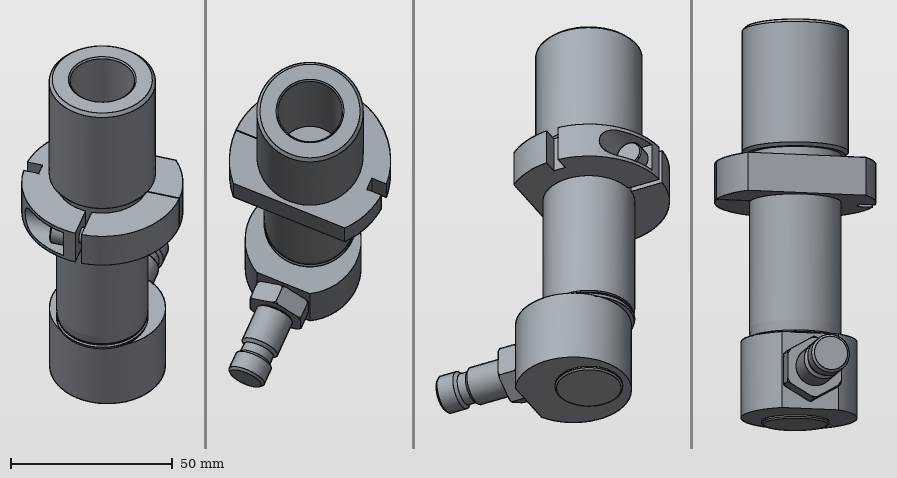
import cadquery as cq
import math

TOTAL_HEIGHT = 124.9
BARREL_DIAMETER = 33.0
BARREL_BOTTOM = 84.9
BARREL_TOP_CHAMFER = 1.0
BARREL_BOTTOM_CHAMFER = 1.0
TUBE_DIAMETER = 28.5
BORE_DIAMETER = 20.0
BORE_MOUTH_DIAMETER = 21.0
BORE_DEPTH = TOTAL_HEIGHT - BARREL_BOTTOM
GROOVE_TOP = 27.1
GROOVE_FLOOR_TOP = 26.7
GROOVE_FLOOR_BOTTOM = 26.4
GROOVE_BOTTOM = 25.9
GROOVE_DEPTH = 0.5
TAPER_TOP = 30.1
TAPER_DEPTH = 0.2
FOOT_TAPER_DEPTH = 0.2

HEAD_DIAMETER = 36.0
HEAD_OFFSET = 5.4
HEAD_BOTTOM = 1.0
HEAD_TOP = 25.0
HEAD_FLAT = 21.0
BASE_DIAMETER = 21.0
BASE_CHAMFER = 0.5

CONNECTOR_Z = (HEAD_BOTTOM + HEAD_TOP) / 2
HEX_ACROSS_FLATS = 17.0
HEX_END = 27.2
HEX_CHAMFER = 0.5
CONNECTOR_DIAMETER = 12.0
CONNECTOR_NECK_DIAMETER = 10.0
CONNECTOR_END = 50.5
CONNECTOR_ROOT_CHAMFER = 0.5
CONNECTOR_END_CHAMFER = 0.7
NECK_START = 39.3
NECK_END = 44.2
NECK_SLOPE = 1.0

COLLAR_DIAMETER = 50.0
COLLAR_BOTTOM = 70.0
COLLAR_HEIGHT = 12.0
COLLAR_FLAT = 16.5
NOTCH_WIDTH = 4.0
NOTCH_DEPTH = 5.0
CLAMP_GAP = 2.0
SPLIT_WIDTH = 0.2

SCREW_Y = -18.9
SCREW_Z = COLLAR_BOTTOM + COLLAR_HEIGHT / 2
SCREW_SHANK_DIAMETER = 5.0
SCREW_HEAD_DIAMETER = 8.5
SCREW_HEAD_LENGTH = 5.0
SCREW_HEAD_CHAMFER = 0.4
SCREW_SEAT_X = -5.0
SCREW_POCKET_WIDTH = 9.5


def make_tube():
    """Barrel and tube with the blind bore and the taper and groove above the head."""
    barrel_r = BARREL_DIAMETER / 2
    tube_r = TUBE_DIAMETER / 2
    bore_r = BORE_DIAMETER / 2
    mouth_r = BORE_MOUTH_DIAMETER / 2
    floor = TOTAL_HEIGHT - BORE_DEPTH
    profile = [
        (0, HEAD_TOP),
        (tube_r - FOOT_TAPER_DEPTH, HEAD_TOP),
        (tube_r, GROOVE_BOTTOM),
        (tube_r - GROOVE_DEPTH, GROOVE_FLOOR_BOTTOM),
        (tube_r - GROOVE_DEPTH, GROOVE_FLOOR_TOP),
        (tube_r - TAPER_DEPTH, GROOVE_TOP),
        (tube_r, TAPER_TOP),
        (tube_r, BARREL_BOTTOM),
        (barrel_r - BARREL_BOTTOM_CHAMFER, BARREL_BOTTOM),
        (barrel_r, BARREL_BOTTOM + BARREL_BOTTOM_CHAMFER),
        (barrel_r, TOTAL_HEIGHT - BARREL_TOP_CHAMFER),
        (barrel_r - BARREL_TOP_CHAMFER, TOTAL_HEIGHT),
        (mouth_r, TOTAL_HEIGHT),
        (bore_r, TOTAL_HEIGHT - (mouth_r - bore_r)),
        (bore_r, floor),
        (0, floor),
    ]
    return cq.Workplane("XZ").polyline(profile).close().revolve(360, (0, 0), (0, 1))


def make_head():
    """Offset cylinder cut by the connector flat, with the round base below."""
    cylinder = (
        cq.Workplane("XY", origin=(0, HEAD_OFFSET, HEAD_BOTTOM))
        .circle(HEAD_DIAMETER / 2)
        .extrude(HEAD_TOP - HEAD_BOTTOM)
    )
    beyond_flat = cq.Workplane("XY").box(
        HEAD_DIAMETER, HEAD_DIAMETER, TOTAL_HEIGHT, centered=(True, False, False)
    ).translate((0, HEAD_FLAT, 0))
    base = (
        cq.Workplane("XY")
        .circle(BASE_DIAMETER / 2)
        .extrude(HEAD_BOTTOM)
        .faces("<Z")
        .chamfer(BASE_CHAMFER)
    )
    return cylinder.cut(beyond_flat).union(base)


def make_hex():
    """Hexagon against the head flat, corners up and down, both ends chamfered."""
    across_corners = HEX_ACROSS_FLATS / math.cos(math.pi / 6)
    length = HEX_END - HEAD_FLAT
    hexagon = (
        cq.Workplane("XY").polygon(6, across_corners).extrude(length)
        .rotate((0, 0, 0), (0, 0, 1), 90)
    )
    corner_trim = (
        cq.Workplane("XY").circle(across_corners / 2).extrude(length)
        .faces("<Z or >Z").chamfer(HEX_CHAMFER)
    )
    return (
        hexagon.intersect(corner_trim)
        .rotate((0, 0, 0), (1, 0, 0), -90)
        .translate((0, HEAD_FLAT, CONNECTOR_Z))
    )


def make_connector():
    """Round connector with a necked groove near its end."""
    outer_r = CONNECTOR_DIAMETER / 2
    neck_r = CONNECTOR_NECK_DIAMETER / 2
    profile = [
        (0, HEX_END),
        (outer_r - CONNECTOR_ROOT_CHAMFER, HEX_END),
        (outer_r, HEX_END + CONNECTOR_ROOT_CHAMFER),
        (outer_r, NECK_START),
        (neck_r, NECK_START + NECK_SLOPE),
        (neck_r, NECK_END - NECK_SLOPE),
        (outer_r, NECK_END),
        (outer_r, CONNECTOR_END - CONNECTOR_END_CHAMFER),
        (outer_r - CONNECTOR_END_CHAMFER, CONNECTOR_END),
        (0, CONNECTOR_END),
    ]
    return (
        cq.Workplane("XY", origin=(0, 0, CONNECTOR_Z))
        .polyline(profile)
        .close()
        .revolve(360, (0, 0), (0, 1))
    )


def collar_cutter(x_min, x_max, y_min, y_max):
    """Block through the full collar height."""
    return (
        cq.Workplane("XY", origin=(0, 0, COLLAR_BOTTOM))
        .moveTo(x_min, y_min)
        .lineTo(x_max, y_min)
        .lineTo(x_max, y_max)
        .lineTo(x_min, y_max)
        .close()
        .extrude(COLLAR_HEIGHT)
    )


def make_screw_pocket():
    """Round-bottomed pocket for the screw head, open toward -X and -Y."""
    radius = SCREW_POCKET_WIDTH / 2
    collar_r = COLLAR_DIAMETER / 2
    length = SCREW_SEAT_X + collar_r
    return (
        cq.Workplane("YZ", origin=(-collar_r, 0, 0))
        .moveTo(-collar_r, SCREW_Z - radius)
        .lineTo(SCREW_Y, SCREW_Z - radius)
        .threePointArc((SCREW_Y + radius, SCREW_Z), (SCREW_Y, SCREW_Z + radius))
        .lineTo(-collar_r, SCREW_Z + radius)
        .close()
        .extrude(length)
    )


def make_screw():
    """Clamp screw, its shank crossing the gap and seated in the far jaw."""
    head = (
        cq.Workplane("YZ", origin=(SCREW_SEAT_X - SCREW_HEAD_LENGTH, SCREW_Y, SCREW_Z))
        .circle(SCREW_HEAD_DIAMETER / 2)
        .extrude(SCREW_HEAD_LENGTH)
        .faces("<X")
        .chamfer(SCREW_HEAD_CHAMFER)
    )
    shank = (
        cq.Workplane("YZ", origin=(SCREW_SEAT_X, SCREW_Y, SCREW_Z))
        .circle(SCREW_SHANK_DIAMETER / 2)
        .extrude(-2 * SCREW_SEAT_X)
    )
    return head.union(shank)


def make_collar():
    """Split collar joined by its clamp screw."""
    outer_r = COLLAR_DIAMETER / 2
    ring = (
        cq.Workplane("XY", origin=(0, 0, COLLAR_BOTTOM))
        .circle(outer_r)
        .circle(TUBE_DIAMETER / 2)
        .extrude(COLLAR_HEIGHT)
    )
    flat = collar_cutter(-outer_r, outer_r, COLLAR_FLAT, outer_r)
    notch = collar_cutter(-outer_r, NOTCH_DEPTH - outer_r, -NOTCH_WIDTH / 2, NOTCH_WIDTH / 2)
    gap = collar_cutter(-CLAMP_GAP / 2, CLAMP_GAP / 2, -outer_r, 0)
    split = collar_cutter(0, outer_r, -SPLIT_WIDTH / 2, SPLIT_WIDTH / 2)
    cut_ring = ring.cut(flat).cut(notch).cut(gap).cut(split).cut(make_screw_pocket())
    return cut_ring.union(make_screw())


spindle = make_tube().union(make_head()).union(make_hex()).union(make_connector())
collar = make_collar()

result = cq.Compound.makeCompound([spindle.val(), collar.val()])